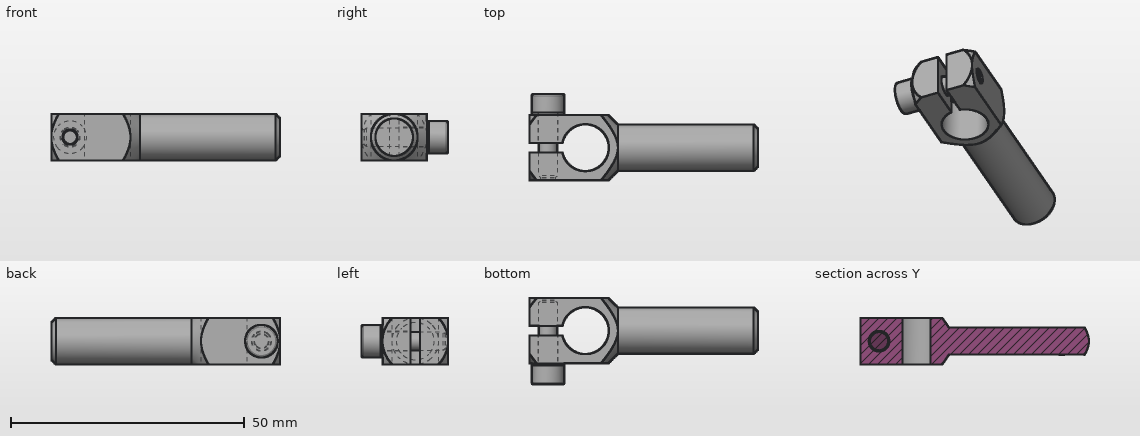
import cadquery as cq

total_length = 49.0
rod_diameter = 10.0
rod_chamfer = 1.0
block_length = 18.95
block_width = 14.0
block_height = rod_diameter
rod_radius = rod_diameter / 2
block_half_width = block_width / 2
block_half_diagonal = (block_half_width**2 + (block_height / 2) ** 2) ** 0.5
clamp_bore_diameter = 10.0
clamp_bore_x = 12.0
slot_width = 2.0

screw_x = 4.0
screw_diameter = 4.0
clearance_diameter = 4.3
exit_hole_diameter = 3.25
screw_tip_diameter = 2.95
screw_tip_recess = 0.5
head_diameter = 7.0
head_height = 4.0
head_round = 0.45
washer_thickness = 0.5

front_face_y = -block_half_width
washer_y = block_half_width
head_y = washer_y + washer_thickness
screw_tip_y = front_face_y + screw_tip_recess
tip_cone_start_y = screw_tip_y + (screw_diameter - screw_tip_diameter) / 2
tip_seat_y = screw_tip_y + (exit_hole_diameter - screw_tip_diameter) / 2


def cylinder_along_y(diameter, start_y, end_y):
    """Cylinder on the screw axis between two Y positions."""
    return (
        cq.Workplane("XZ", origin=(screw_x, start_y, 0))
        .circle(diameter / 2)
        .extrude(start_y - end_y)
    )


def make_shank(end_y):
    """Screw shank with its conical tip, turned about the screw axis."""
    radius = screw_diameter / 2
    tip_radius = screw_tip_diameter / 2
    return (
        cq.Workplane("XY", origin=(screw_x, 0, 0))
        .moveTo(0, screw_tip_y)
        .lineTo(tip_radius, screw_tip_y)
        .lineTo(radius, tip_cone_start_y)
        .lineTo(radius, end_y)
        .lineTo(0, end_y)
        .close()
        .revolve(360, (0, 0, 0), (0, 1, 0))
    )


def make_turned_blank():
    """Rod and block envelope; 45 degree cones trim both ends of the block."""
    corner_step = block_half_diagonal - block_half_width
    corner_end_x = block_length - (block_half_diagonal - rod_radius)
    return (
        cq.Workplane("XY")
        .moveTo(0, 0)
        .lineTo(0, block_half_width)
        .lineTo(corner_step, block_half_diagonal)
        .lineTo(corner_end_x, block_half_diagonal)
        .lineTo(block_length, rod_radius)
        .lineTo(total_length - rod_chamfer, rod_radius)
        .lineTo(total_length, rod_radius - rod_chamfer)
        .lineTo(total_length, 0)
        .close()
        .revolve(360, (0, 0, 0), (1, 0, 0))
    )


def make_clamp():
    """Trim the blank to the flat block, then cut the bore, slot and screw hole."""
    flats = cq.Workplane("XY").box(
        total_length, block_width, block_height, centered=(False, True, True)
    )
    clamp_bore = (
        cq.Workplane("XY")
        .center(clamp_bore_x, 0)
        .circle(clamp_bore_diameter / 2)
        .extrude(block_height, both=True)
    )
    slot = cq.Workplane("XY").box(
        clamp_bore_x, slot_width, block_height, centered=(False, True, True)
    )
    clearance_hole = cylinder_along_y(clearance_diameter, 0, washer_y)
    exit_hole = cylinder_along_y(exit_hole_diameter, front_face_y, tip_seat_y)
    return (
        make_turned_blank()
        .intersect(flats)
        .cut(clamp_bore)
        .cut(slot)
        .cut(clearance_hole)
        .cut(make_shank(0))
        .cut(exit_hole)
    )


def make_washer():
    """Ring under the screw head, flush with the head's side."""
    ring = cylinder_along_y(head_diameter, washer_y, head_y)
    return ring.cut(cylinder_along_y(clearance_diameter, washer_y, head_y))


def make_screw():
    """Shank with a cylindrical head rounded at its outer end."""
    head = cylinder_along_y(head_diameter, head_y, head_y + head_height)
    head = head.faces(">Y").edges().fillet(head_round)
    return head.union(make_shank(head_y))


clamp = make_clamp()
washer = make_washer()
screw = make_screw()

result = cq.Compound.makeCompound([*clamp.solids().vals(), *washer.solids().vals(), *screw.solids().vals()])